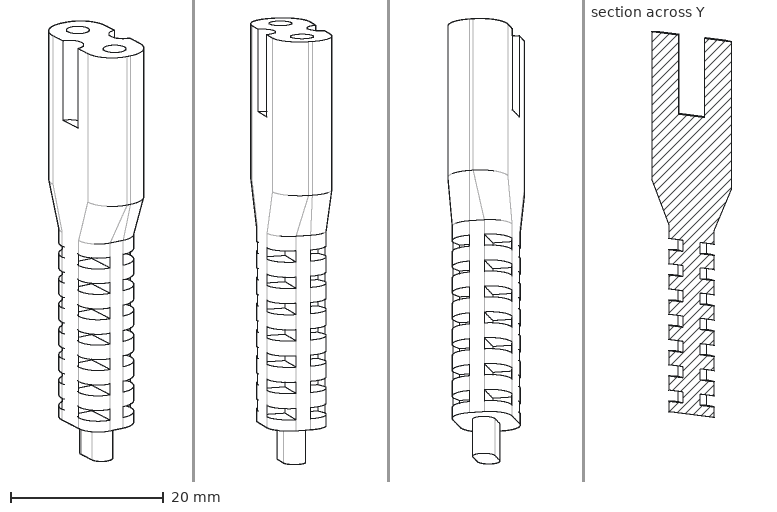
import cadquery as cq

head_width = 16.0
depth = 8.0
head_radius = 3.75
grip_width = 10.0
grip_radius = 3.0
cable_width = 5.5
cable_depth = 3.0

total_length = 57.5
cable_length = 5.0
grip_length = 26.0
taper_length = 6.0
grip_bottom = cable_length
grip_top = grip_bottom + grip_length
head_bottom = grip_top + taper_length
head_length = total_length - head_bottom

notch_count = 7
notch_height = 1.5
notch_pitch = 3.5
first_notch_bottom = grip_bottom + notch_height

web_width = 1.0
flange_thickness = 0.5

socket_diameter = 3.0
socket_spacing = 8.95
socket_depth = 14.95
key_radius = 1.85
key_depth = 1.7
key_length = 11.0


def rounded_section(width, radius):
    """Closed sketch of a rounded rectangle with the common depth."""
    return cq.Sketch().rect(width, depth).vertices().fillet(radius)


def make_cable():
    cable = cq.Workplane("XY").slot2D(cable_width, cable_depth)
    return cable.extrude(cable_length)


def make_notch(x_side, y_side):
    """Corner notch at Z = 0, undercutting the front or back flat down to the central web."""
    flat_edge = grip_width / 2 - grip_radius
    floor = depth / 2 - grip_radius
    outline = [
        (grip_width / 2, floor),
        (web_width / 2, floor),
        (web_width / 2, depth / 2 - flange_thickness),
        (flat_edge, depth / 2),
        (grip_width / 2, depth / 2),
    ]
    placed = [(x_side * x, y_side * y) for x, y in outline]
    return cq.Workplane("XY").polyline(placed).close().extrude(notch_height)


def make_grip():
    section = rounded_section(grip_width, grip_radius)
    grip = cq.Workplane("XY", origin=(0, 0, grip_bottom)).placeSketch(section).extrude(grip_length)
    for x_side in (-1, 1):
        for y_side in (-1, 1):
            notch = make_notch(x_side, y_side)
            for index in range(notch_count):
                notch_bottom = first_notch_bottom + index * notch_pitch
                grip = grip.cut(notch.translate((0, 0, notch_bottom)))
    return grip


def make_taper():
    lower = rounded_section(grip_width, grip_radius)
    upper = rounded_section(head_width, head_radius).moved(cq.Location(cq.Vector(0, 0, taper_length)))
    return cq.Workplane("XY", origin=(0, 0, grip_top)).placeSketch(lower, upper).loft()


def make_head():
    section = rounded_section(head_width, head_radius)
    head = cq.Workplane("XY", origin=(0, 0, head_bottom)).placeSketch(section).extrude(head_length)
    end_face = cq.Workplane("XY", origin=(0, 0, total_length))
    sockets = (
        end_face.pushPoints([(-socket_spacing / 2, 0), (socket_spacing / 2, 0)])
        .circle(socket_diameter / 2)
        .extrude(-socket_depth)
    )
    key_offset = depth / 2 - key_depth + key_radius
    keys = (
        end_face.pushPoints([(0, -key_offset), (0, key_offset)])
        .circle(key_radius)
        .extrude(-key_length)
    )
    return head.cut(sockets).cut(keys)


result = make_cable().union(make_grip()).union(make_taper()).union(make_head())